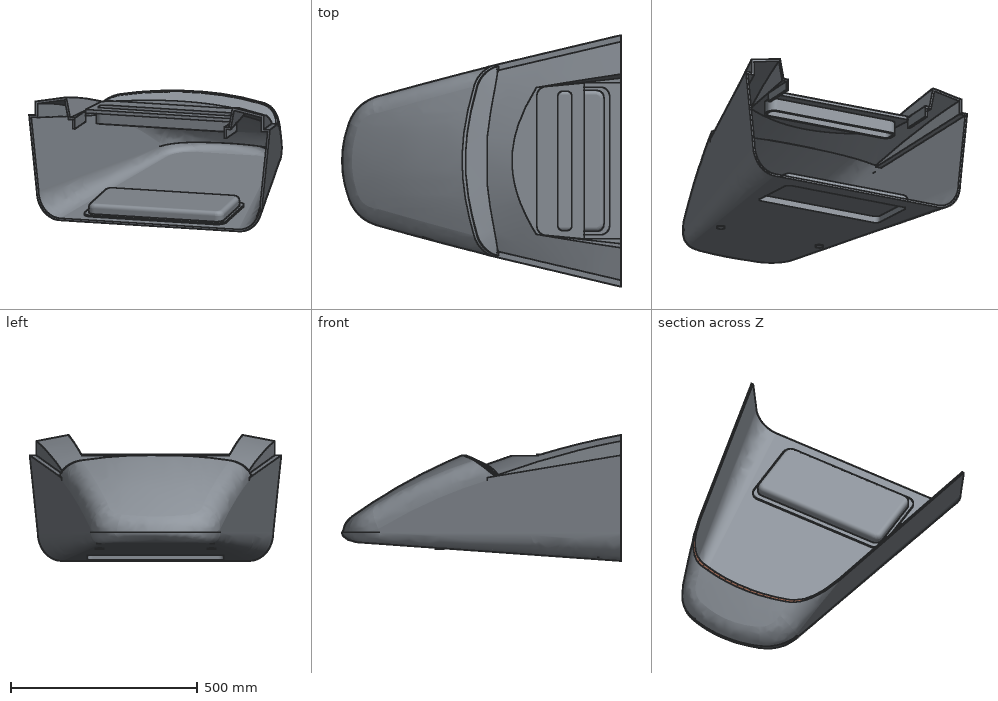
import cadquery as cq
import math

LENGTH = 749.09
WIDTH = 675.32
HEIGHT = 338.7
WALL = 6.0
CUT_MARGIN = 60.0

BELT_Z = 77.0
NOSE_END_X = 100.0
NOSE_END_Y = 173.3
NOSE_CORNER = 110.0
SIDE_SLOPE = 0.220
BELT_REAR_Y = NOSE_END_Y + SIDE_SLOPE * (LENGTH - NOSE_END_X)

BOTTOM_NOSE_Z = 53.0
BOTTOM_SLOPE = BOTTOM_NOSE_Z / LENGTH
NOSE_TUCK = 42.0
FLANK_RATIO = 0.85
BELLY_ANGLES = (0, 30, 60, 90)

HOOD_TIP_Z = 100.0
PEAK_X = 327.0
PEAK_Z = 286.0
HOOD_RADIUS = 1500.0
HOOD_CROWN_RADIUS = 820.0
HOOD_END_X = 480.0
HOOD_FILLET = 62.0
CREST_BEVEL = 5.0

WALL_REF_Y = 247.0
WALL_TOP_Z = 320.0
WALL_FOOT_Z = 229.0
WALL_FOOT_X = 453.0
WALL_FOOT_SIDE_X = 420.0
WALL_PEAK_SIDE_X = 341.0

TAIL_X = 390.0
LEDGE_X = 420.0
LEDGE_START_Z = 229.0
LEDGE_REAR_Z = 284.0
LEDGE_SLOPE = (LEDGE_REAR_Z - LEDGE_START_Z) / (LENGTH - LEDGE_X)
SIDE_DRAFT = (WIDTH / 2 - BELT_REAR_Y) / (LEDGE_REAR_Z - BELT_Z)
NOSE_DRAFT = SIDE_DRAFT * math.cos(math.atan(SIDE_SLOPE))
ARM_START_Y = 236.0
ARM_REAR_Y = 320.0
SADDLE_START_Z = 260.0
SADDLE_START_EDGE_Z = 221.0
SADDLE_MIDDLE_X = 581.0
SADDLE_MIDDLE_Z = 320.0
SADDLE_MIDDLE_EDGE_Z = 283.0
ARM_INNER_REAR_Y = 233.0
ARM_OUTER_REAR_Z = 322.0

DECK_Z = 283.0
DECK_FRONT_X = 523.0
DECK_FRONT_Y = 197.0
DECK_REAR_Y = 222.0
DECK_DRAFT = (ARM_INNER_REAR_Y - DECK_REAR_Y) / (HEIGHT - DECK_Z)
PLATE_RISE = 3.5
PLATE_CORNER = 25.0
DECK_REAR_X = 650.0
SLOT_X = 579.0
SLOT_WIDTH = 38.0
SLOT_LENGTH = 374.0
SLOT_CORNER = 14.0
SLOT_COLLAR_DEPTH = 40.0
OPENING_HALF_WIDTH = 209.0
FLANGE_DEPTH = 30.0

GROOVE_REAR_X = 703.0
GROOVE_LENGTH = 378.0
HUMP_HEIGHT = 30.0
HUMP_FILLET = 12.0
PAD_REAR_X = 718.0
PAD_FRONT_X = DECK_FRONT_X - (PAD_REAR_X - GROOVE_REAR_X)
PAD_LENGTH = 396.0
PAD_CORNER = 25.0
PAD_RISE = 4.0
PIN_X = 262.0
PIN_Y = 150.0
PIN_RADIUS = 11.0
PIN_LENGTH = 2.5


def bottom_z(x):
    """Height of the sloping bottom at x."""
    return BOTTOM_NOSE_Z - BOTTOM_SLOPE * x


def plan_wire(nose_in, side_in_nose, side_in_rear, rear_x, height):
    """Closed plan outline, moved inwards by the given amounts, at the height given as height(x).

    The nose is three arcs: two corners tangent to the straight sides and one wider arc at the tip.
    """
    rear_y = NOSE_END_Y + SIDE_SLOPE * (rear_x - NOSE_END_X) - side_in_rear
    end_y = NOSE_END_Y - side_in_nose
    side_angle = math.atan2(rear_y - end_y, rear_x - NOSE_END_X)
    corner = NOSE_CORNER - nose_in
    corner_x = NOSE_END_X + corner * math.sin(side_angle)
    corner_y = end_y - corner * math.cos(side_angle)
    reach = corner_x - nose_in
    tip = (reach**2 + corner_y**2 - corner**2) / (2 * (reach - corner))
    tip_angle = math.atan2(corner_y, nose_in + tip - corner_x)
    middle_angle = (tip_angle + math.pi / 2 - side_angle) / 2

    def point(x, y):
        return cq.Vector(x, y, height(x))

    def corner_point(angle, side):
        return point(corner_x - corner * math.cos(angle), side * (corner_y + corner * math.sin(angle)))

    def corner_arc(side):
        return cq.Edge.makeThreePointArc(
            point(NOSE_END_X, side * end_y), corner_point(middle_angle, side), corner_point(tip_angle, side)
        )

    tip_arc = cq.Edge.makeThreePointArc(
        corner_point(tip_angle, -1), point(nose_in, 0), corner_point(tip_angle, 1)
    )
    left = cq.Edge.makeLine(point(NOSE_END_X, end_y), point(rear_x, rear_y))
    rear = cq.Edge.makeLine(point(rear_x, rear_y), point(rear_x, -rear_y))
    right = cq.Edge.makeLine(point(rear_x, -rear_y), point(NOSE_END_X, -end_y))
    return cq.Wire.assembleEdges([corner_arc(-1), tip_arc, corner_arc(1), left, rear, right])


def belly(inset, rear_x):
    """Lower body, from the belt line down to the sloping bottom."""

    def depth(x):
        return BELT_Z - bottom_z(x) - inset

    wires = []
    for angle in BELLY_ANGLES:
        tuck = 1 - math.cos(math.radians(angle))
        drop = math.sin(math.radians(angle))
        wires.append(
            plan_wire(
                inset + (NOSE_TUCK - inset) * tuck,
                inset + FLANK_RATIO * depth(NOSE_END_X) * tuck,
                inset + FLANK_RATIO * depth(rear_x) * tuck,
                rear_x,
                lambda x, drop=drop: BELT_Z - depth(x) * drop,
            )
        )
    return cq.Workplane(cq.Solid.makeLoft(wires))


def drafted_sides(inset, rear_x, base_z=BELT_Z):
    """Volume inside the leaning side walls, from base_z up."""
    side_in = inset - SIDE_DRAFT * (base_z - BELT_Z)
    nose_in = inset - NOSE_DRAFT * (base_z - BELT_Z)
    outline = plan_wire(nose_in, side_in, side_in, rear_x + CUT_MARGIN, lambda x: base_z)
    taper = -math.degrees(math.atan(NOSE_DRAFT))
    leaning = cq.Workplane("XY", origin=(0, 0, base_z)).add(outline).toPending()
    leaning = leaning.extrude(HEIGHT + CUT_MARGIN - base_z, taper=taper)
    slab = cq.Workplane("XY").box(2 * rear_x, 2 * WIDTH, 4 * HEIGHT)
    return leaning.intersect(slab)


def hood_envelope(inset):
    """Ring segment whose outer surface is the hood: an arc in side view with a crown across."""
    chord = math.hypot(PEAK_X, PEAK_Z - HOOD_TIP_Z)
    reach = math.sqrt(HOOD_RADIUS**2 - chord**2 / 4)
    center_x = PEAK_X / 2 + reach * (PEAK_Z - HOOD_TIP_Z) / chord
    center_z = (HOOD_TIP_Z + PEAK_Z) / 2 - reach * PEAK_X / chord
    half = WIDTH / 2
    crown = HOOD_CROWN_RADIUS - math.sqrt(HOOD_CROWN_RADIUS**2 - half**2)
    outer = HOOD_RADIUS - inset
    inner = HOOD_RADIUS / 2
    return (
        cq.Workplane("YZ", origin=(center_x, 0, center_z))
        .moveTo(-half, inner)
        .lineTo(-half, outer - crown)
        .threePointArc((0, outer), (half, outer - crown))
        .lineTo(half, inner)
        .close()
        .revolve(360, (0, 0), (1, 0))
    )


def wall_section(inset, z):
    """Plan section ahead of the valley wall at height z."""
    share = (PEAK_Z - z) / (PEAK_Z - WALL_FOOT_Z)
    mid_x = PEAK_X + share * (WALL_FOOT_X - PEAK_X) - inset
    side_x = WALL_PEAK_SIDE_X + share * (WALL_FOOT_SIDE_X - WALL_PEAK_SIDE_X) - inset
    end_x = mid_x + (side_x - mid_x) * (WIDTH / 2 / WALL_REF_Y) ** 2
    return (
        cq.Workplane("XY", origin=(0, 0, z))
        .moveTo(-LENGTH, -WIDTH / 2)
        .lineTo(end_x, -WIDTH / 2)
        .threePointArc((mid_x, 0), (end_x, WIDTH / 2))
        .lineTo(-LENGTH, WIDTH / 2)
        .close()
        .wires()
        .val()
    )


def ahead_of_valley(inset):
    """Volume that keeps the hood ahead of the valley wall."""
    sections = [wall_section(inset, WALL_FOOT_Z), wall_section(inset, WALL_TOP_Z)]
    upper = cq.Workplane(cq.Solid.makeLoft(sections, True))
    lower = (
        cq.Workplane("XY", origin=(0, 0, BELT_Z))
        .box(2 * WALL_FOOT_SIDE_X, WIDTH, WALL_FOOT_Z - BELT_Z, centered=(True, True, False))
    )
    return upper.union(lower)


def hood(inset):
    """Hood with rounded rim, cut off behind its crest; only the outside has the crest bevel."""
    base_z = BELT_Z - HOOD_FILLET
    body = drafted_sides(inset, HOOD_END_X, base_z).intersect(hood_envelope(inset))
    rim = [
        edge
        for edge in body.edges().vals()
        if edge.BoundingBox().zmin > base_z + 1 and edge.BoundingBox().xmin < HOOD_END_X - 1
    ]
    body = body.newObject(rim).fillet(HOOD_FILLET - inset)
    body = body.intersect(ahead_of_valley(inset))
    if inset > 0:
        return body
    crest = cq.selectors.NearestToPointSelector((PEAK_X, 0, PEAK_Z))
    return body.edges(crest).chamfer(CREST_BEVEL)


def ledge_profile(inset, rear_x):
    """Volume below the plane of the side ledges."""

    def ledge_z(x):
        return LEDGE_START_Z + LEDGE_SLOPE * (x - LEDGE_X) - inset

    return (
        cq.Workplane("XZ")
        .polyline([(TAIL_X, 0), (rear_x, 0), (rear_x, ledge_z(rear_x)), (TAIL_X, ledge_z(TAIL_X))])
        .close()
        .extrude(WIDTH, both=True)
    )


def saddle_section(x, mid_z, side_y, side_z, inset):
    """Cross-section at x, topped by an arc through (0, mid_z) and (side_y, side_z)."""
    half = WIDTH / 2
    radius = (side_y**2 + (mid_z - side_z) ** 2) / (2 * (mid_z - side_z))
    edge_z = mid_z - radius + math.sqrt(radius**2 - half**2)
    return (
        cq.Workplane("YZ", origin=(x, 0, 0))
        .moveTo(-half, BELT_Z)
        .lineTo(-half, edge_z - inset)
        .threePointArc((0, mid_z - inset), (half, edge_z - inset))
        .lineTo(half, BELT_Z)
        .close()
        .wires()
        .val()
    )


def deck_space(inset):
    """Open space above the deck, between the arms."""

    def half_width(x, z):
        slope = (DECK_REAR_Y - DECK_FRONT_Y) / (LENGTH - DECK_FRONT_X)
        return DECK_FRONT_Y + slope * (x - DECK_FRONT_X) + DECK_DRAFT * (z - DECK_Z) + inset

    def outline(z):
        front = TAIL_X
        rear = LENGTH + CUT_MARGIN
        corners = [
            (front, -half_width(front, z)),
            (rear, -half_width(rear, z)),
            (rear, half_width(rear, z)),
            (front, half_width(front, z)),
        ]
        return cq.Workplane("XY", origin=(0, 0, z)).polyline(corners).close().wires().val()

    sections = [outline(DECK_Z - inset), outline(HEIGHT + CUT_MARGIN)]
    return cq.Workplane(cq.Solid.makeLoft(sections, True))


def saddle(inset, rear_x):
    """Crowned saddle and arms, with the deck cut between the arms."""
    spread = ARM_REAR_Y**2 - ARM_INNER_REAR_Y**2
    crown_center_z = (HEIGHT + ARM_OUTER_REAR_Z - spread / (HEIGHT - ARM_OUTER_REAR_Z)) / 2
    rear_mid_z = crown_center_z + math.hypot(ARM_INNER_REAR_Y, HEIGHT - crown_center_z)
    share = (SADDLE_MIDDLE_X - TAIL_X) / (LENGTH - TAIL_X)
    middle_y = ARM_START_Y + share * (ARM_REAR_Y - ARM_START_Y)
    sections = [
        saddle_section(TAIL_X, SADDLE_START_Z, ARM_START_Y, SADDLE_START_EDGE_Z, inset),
        saddle_section(SADDLE_MIDDLE_X, SADDLE_MIDDLE_Z, middle_y, SADDLE_MIDDLE_EDGE_Z, inset),
        saddle_section(rear_x, rear_mid_z, ARM_REAR_Y, ARM_OUTER_REAR_Z, inset),
    ]
    crowned = cq.Workplane(cq.Solid.makeLoft(sections))
    plan = (
        cq.Workplane("XY")
        .polyline(
            [
                (TAIL_X, inset - ARM_START_Y),
                (rear_x, inset - ARM_REAR_Y),
                (rear_x, ARM_REAR_Y - inset),
                (TAIL_X, ARM_START_Y - inset),
            ]
        )
        .close()
        .extrude(2 * HEIGHT)
    )
    return crowned.intersect(plan).cut(deck_space(inset))


def tail(inset, rear_x):
    """Ledges, saddle and arms, kept within the leaning side walls."""
    above_belt = ledge_profile(inset, rear_x).union(saddle(inset, rear_x))
    return above_belt.intersect(drafted_sides(inset, rear_x))


def envelope(inset):
    """Whole body, moved inwards by inset and open-ended to the rear by the same amount."""
    rear_x = LENGTH + inset
    return hood(inset).union(tail(inset, rear_x)).union(belly(inset, rear_x))


def rounded_block(front_x, rear_x, length_y, low_z, high_z, corner):
    """Upright block with rounded vertical edges."""
    middle = (front_x + rear_x) / 2
    return (
        cq.Workplane("XY", origin=(middle, 0, low_z))
        .rect(rear_x - front_x, length_y)
        .extrude(high_z - low_z)
        .edges("|Z")
        .fillet(corner)
    )


def deck_plate():
    """Raised plate on the deck, widening to the rear between the arms."""
    plate = (
        cq.Workplane("XY", origin=(0, 0, DECK_Z - WALL))
        .polyline(
            [
                (DECK_FRONT_X, -DECK_FRONT_Y),
                (DECK_REAR_X, -OPENING_HALF_WIDTH),
                (DECK_REAR_X, OPENING_HALF_WIDTH),
                (DECK_FRONT_X, DECK_FRONT_Y),
            ]
        )
        .close()
        .extrude(WALL + PLATE_RISE)
    )
    return plate.edges("|Z and <X").fillet(PLATE_CORNER)


def slot_block(margin):
    """Volume of the hand slot, grown sideways by margin, down to the foot of its collar."""
    return rounded_block(
        SLOT_X - margin,
        SLOT_X + SLOT_WIDTH + margin,
        SLOT_LENGTH + 2 * margin,
        DECK_Z - SLOT_COLLAR_DEPTH,
        DECK_Z + PLATE_RISE,
        SLOT_CORNER + margin,
    )


def rear_opening():
    """Space cut through the deck, from its rear edge to behind the body."""
    length = LENGTH + CUT_MARGIN - DECK_REAR_X
    return cq.Workplane("XY", origin=(DECK_REAR_X, 0, DECK_Z - FLANGE_DEPTH)).box(
        length, 2 * OPENING_HALF_WIDTH, 2 * FLANGE_DEPTH, centered=(False, True, False)
    )


def opening_flanges():
    """Strips hanging down along both sides of the rear opening."""
    flange = cq.Workplane("XY", origin=(DECK_REAR_X, OPENING_HALF_WIDTH, DECK_Z - FLANGE_DEPTH)).box(
        LENGTH - DECK_REAR_X, WALL, FLANGE_DEPTH, centered=False
    )
    return flange.union(flange.mirror("XZ"))


def floor_block(front_x, rear_x, length_y, low, high, corner):
    """Rounded block between two planes parallel to the sloping bottom, low and high above it."""
    block = rounded_block(front_x, rear_x, length_y, -HEIGHT, HEIGHT, corner)
    slab = (
        cq.Workplane("XZ")
        .polyline(
            [
                (0, bottom_z(0) + low),
                (LENGTH, bottom_z(LENGTH) + low),
                (LENGTH, bottom_z(LENGTH) + high),
                (0, bottom_z(0) + high),
            ]
        )
        .close()
        .extrude(WIDTH / 2, both=True)
    )
    return block.intersect(slab)


def floor_pad():
    """Low raised pad on the floor around the hump."""
    return floor_block(PAD_FRONT_X, PAD_REAR_X, PAD_LENGTH, WALL / 2, WALL + PAD_RISE, PAD_CORNER)


def floor_hump():
    """Hump on the floor with rounded top edges."""
    hump = floor_block(
        DECK_FRONT_X, GROOVE_REAR_X, GROOVE_LENGTH, WALL / 2, HUMP_HEIGHT + WALL, SLOT_CORNER + WALL
    )
    return hump.faces(">Z").edges().fillet(HUMP_FILLET)


def floor_groove():
    """Recess under the hump, open at the bottom."""
    front_x = DECK_FRONT_X + WALL
    rear_x = GROOVE_REAR_X - WALL
    length_y = GROOVE_LENGTH - 2 * WALL
    return floor_block(front_x, rear_x, length_y, -WALL, HUMP_HEIGHT - HUMP_FILLET, SLOT_CORNER)


def locating_pins():
    """Two short round pins under the bottom."""
    low_z = bottom_z(PIN_X) - PIN_LENGTH
    return (
        cq.Workplane("XY", origin=(0, 0, low_z))
        .pushPoints([(PIN_X, -PIN_Y), (PIN_X, PIN_Y)])
        .circle(PIN_RADIUS)
        .extrude(PIN_LENGTH + WALL / 2)
    )


shell = envelope(0).cut(envelope(WALL))
upper = shell.union(deck_plate()).cut(rear_opening()).union(opening_flanges())
upper = upper.union(slot_block(WALL)).cut(slot_block(0))
floor = upper.union(floor_pad()).union(floor_hump()).cut(floor_groove())
result = floor.union(locating_pins())